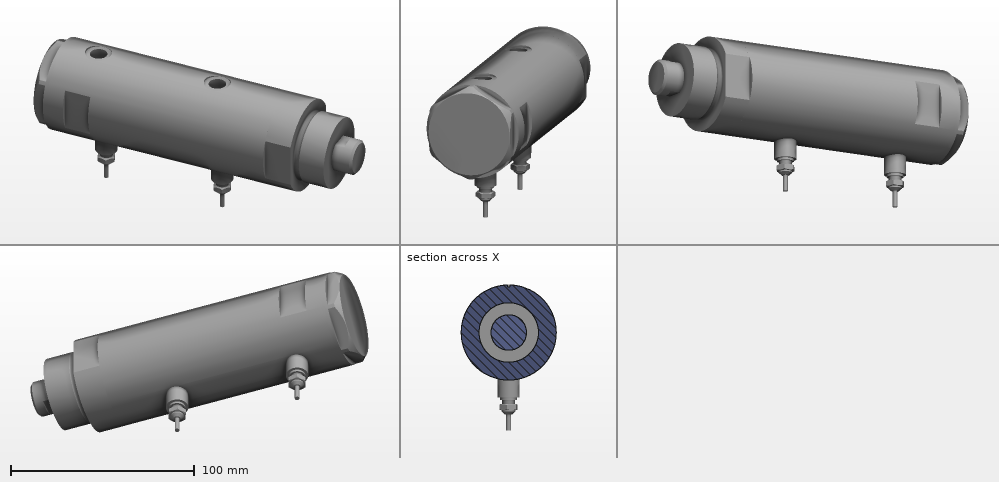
import cadquery as cq
import math


TOTAL_LENGTH = 184.4
BARREL_RADIUS = 26.0
BORE_RADIUS = 16.0
ROD_RADIUS = 9.8
WRENCH_HALF_WIDTH = 23.0

CAP_HEX_LENGTH = 7.0
CAP_FACE_RADIUS = 22.9
CAP_BEVEL = BARREL_RADIUS - CAP_FACE_RADIUS
CAP_SPIGOT_END = 36.9

BARREL_START = 9.0
BARREL_END = 139.0
FLAT_START = 19.0
FLAT_END = 34.1

PORT_POSITIONS = (28.4, 99.5)
PORT_RADIUS = 4.8
SPOTFACE_RADIUS = 7.4
SPOTFACE_HEIGHT = 24.9

HEAD_SPIGOT_RADIUS = 22.1
HEAD_SPIGOT_START = 102.3
HEAD_SHOULDER = 154.2
HEAD_END = 172.6
COLLAR_RADIUS = 20.1
COLLAR_START = 157.8
RELIEF_RADIUS = 19.0
RELIEF_FILLET = 1.0
RAMP_LENGTH = 2.0
RAMP_CURVE_LENGTH = 1.1
RAMP_CURVE_RISE = 0.28

ROD_CHAMFER = 1.3
ROD_FLAT_HALF_WIDTH = 8.3
ROD_FLAT_END = 178.3

SENSOR_POSITIONS = (33.0, 102.5)
SENSOR_TURNS = (20.0, 24.0)
BOSS_RADIUS = 6.0
BOSS_BOTTOM = 33.2
DISC_BOTTOM = 35.5
STEP_RADIUS = 4.6
STEP_BOTTOM = 36.9
NECK_RADIUS = 3.5
NUT_TOP = 39.1
NUT_BOTTOM = 42.5
NUT_CORNER_RADIUS = 5.3
NUT_BEVEL_RADIUS = 4.5
NUT_BEVEL_HEIGHT = 0.5
TIP_TOP_RADIUS = 3.7
TIP_TAPER_TOP = 43.1
TIP_BOTTOM_RADIUS = 2.0
TIP_BOTTOM = 44.6
CABLE_RADIUS = 1.3
CABLE_BOTTOM = 53.5


def x_cylinder(start, end, radius):
    """Solid cylinder on the X axis from start to end."""
    return cq.Workplane("YZ", origin=(start, 0, 0)).circle(radius).extrude(end - start)


def revolve_about_x(profile):
    """Close a profile drawn in the XY plane and turn it about the X axis."""
    return profile.close().revolve(360, (0, 0, 0), (1, 0, 0))


def cut_side_flats(body, start, end):
    """Cut two flats facing -Y and +Y into a body between two X positions."""
    for side in (-1, 1):
        cutter = cq.Workplane("XY").box(end - start, BARREL_RADIUS, 2 * BARREL_RADIUS)
        cutter_y = side * (WRENCH_HALF_WIDTH + BARREL_RADIUS / 2)
        body = body.cut(cutter.translate(((start + end) / 2, cutter_y, 0)))
    return body


def make_cap():
    """Hexagonal cap with a bevelled face, a round flange and a spigot in the bore."""
    corner_diameter = 2 * WRENCH_HALF_WIDTH / math.cos(math.pi / 6)
    hexagon = cq.Workplane("YZ").polygon(6, corner_diameter).extrude(CAP_HEX_LENGTH)
    hexagon = hexagon.rotate((0, 0, 0), (1, 0, 0), 90)
    bevelled = x_cylinder(0, CAP_HEX_LENGTH, BARREL_RADIUS).faces("<X").chamfer(CAP_BEVEL)
    flange = x_cylinder(CAP_HEX_LENGTH, BARREL_START, BARREL_RADIUS)
    spigot = x_cylinder(BARREL_START, CAP_SPIGOT_END, BORE_RADIUS)
    return hexagon.intersect(bevelled).union(flange).union(spigot)


def make_barrel():
    """Barrel with a bore, a counterbore for the head spigot, flats, ports and sensor bosses."""
    barrel = x_cylinder(BARREL_START, BARREL_END, BARREL_RADIUS)
    barrel = cut_side_flats(barrel, FLAT_START, FLAT_END)
    for x in SENSOR_POSITIONS:
        boss = cq.Workplane("XY", origin=(x, 0, -BOSS_BOTTOM)).circle(BOSS_RADIUS).extrude(BOSS_BOTTOM)
        barrel = barrel.union(boss)
    for x in PORT_POSITIONS:
        port = cq.Workplane("XY", origin=(x, 0, 0)).circle(PORT_RADIUS).extrude(BARREL_RADIUS)
        spotface = cq.Workplane("XY", origin=(x, 0, SPOTFACE_HEIGHT))
        spotface = spotface.circle(SPOTFACE_RADIUS).extrude(BARREL_RADIUS - SPOTFACE_HEIGHT)
        barrel = barrel.cut(port).cut(spotface)
    barrel = barrel.cut(x_cylinder(BARREL_START, HEAD_SPIGOT_START, BORE_RADIUS))
    return barrel.cut(x_cylinder(HEAD_SPIGOT_START, BARREL_END, HEAD_SPIGOT_RADIUS))


def make_head():
    """Head with a spigot in the counterbore, a flatted shoulder, a relief groove and a collar."""
    arc_offset = RELIEF_FILLET * (1 - math.cos(math.pi / 4))
    profile = (
        cq.Workplane("XY")
        .moveTo(HEAD_SPIGOT_START, ROD_RADIUS)
        .lineTo(HEAD_SPIGOT_START, HEAD_SPIGOT_RADIUS)
        .lineTo(BARREL_END, HEAD_SPIGOT_RADIUS)
        .lineTo(BARREL_END, BARREL_RADIUS)
        .lineTo(HEAD_SHOULDER, BARREL_RADIUS)
        .lineTo(HEAD_SHOULDER, RELIEF_RADIUS + RELIEF_FILLET)
        .threePointArc(
            (HEAD_SHOULDER + arc_offset, RELIEF_RADIUS + arc_offset),
            (HEAD_SHOULDER + RELIEF_FILLET, RELIEF_RADIUS),
        )
        .lineTo(COLLAR_START - RAMP_LENGTH, RELIEF_RADIUS)
        .tangentArcPoint((RAMP_CURVE_LENGTH, RAMP_CURVE_RISE))
        .lineTo(COLLAR_START, COLLAR_RADIUS)
        .lineTo(HEAD_END, COLLAR_RADIUS)
        .lineTo(HEAD_END, ROD_RADIUS)
    )
    return cut_side_flats(revolve_about_x(profile), BARREL_END, HEAD_SHOULDER)


def make_rod():
    """Rod from the cap spigot out through the head, with two flats facing -Z and +Z."""
    rod = x_cylinder(CAP_SPIGOT_END, TOTAL_LENGTH, ROD_RADIUS).faces(">X").chamfer(ROD_CHAMFER)
    flat_length = ROD_FLAT_END - HEAD_END
    for side in (-1, 1):
        cutter = cq.Workplane("XY").box(flat_length, 2 * ROD_RADIUS, ROD_RADIUS)
        cutter_height = side * (ROD_FLAT_HALF_WIDTH + ROD_RADIUS / 2)
        rod = rod.cut(cutter.translate((HEAD_END + flat_length / 2, 0, cutter_height)))
    return rod


def make_sensor(x, turn):
    """Sensor under a boss: disc, step, neck, bevelled hexagon nut, tapered tip and cable."""
    turned_body = (
        cq.Workplane("XZ")
        .moveTo(0, -BOSS_BOTTOM)
        .lineTo(BOSS_RADIUS, -BOSS_BOTTOM)
        .lineTo(BOSS_RADIUS, -DISC_BOTTOM)
        .lineTo(STEP_RADIUS, -DISC_BOTTOM)
        .lineTo(STEP_RADIUS, -STEP_BOTTOM)
        .lineTo(NECK_RADIUS, -STEP_BOTTOM)
        .lineTo(NECK_RADIUS, -NUT_BOTTOM)
        .lineTo(TIP_TOP_RADIUS, -NUT_BOTTOM)
        .lineTo(TIP_TOP_RADIUS, -TIP_TAPER_TOP)
        .lineTo(TIP_BOTTOM_RADIUS, -TIP_BOTTOM)
        .lineTo(CABLE_RADIUS, -TIP_BOTTOM)
        .lineTo(CABLE_RADIUS, -CABLE_BOTTOM)
        .lineTo(0, -CABLE_BOTTOM)
        .close()
        .revolve(360, (0, 0, 0), (0, 1, 0))
    )
    nut_envelope = (
        cq.Workplane("XZ")
        .moveTo(0, -NUT_TOP)
        .lineTo(NUT_BEVEL_RADIUS, -NUT_TOP)
        .lineTo(NUT_CORNER_RADIUS, -NUT_TOP - NUT_BEVEL_HEIGHT)
        .lineTo(NUT_CORNER_RADIUS, -NUT_BOTTOM + NUT_BEVEL_HEIGHT)
        .lineTo(NUT_BEVEL_RADIUS, -NUT_BOTTOM)
        .lineTo(0, -NUT_BOTTOM)
        .close()
        .revolve(360, (0, 0, 0), (0, 1, 0))
    )
    hexagon = cq.Workplane("XY", origin=(0, 0, -NUT_BOTTOM)).polygon(6, 2 * NUT_CORNER_RADIUS)
    hexagon = hexagon.extrude(NUT_BOTTOM - NUT_TOP)
    hexagon = hexagon.rotate((0, 0, 0), (0, 0, 1), turn - 90)
    return turned_body.union(hexagon.intersect(nut_envelope)).translate((x, 0, 0))


cap = make_cap()
barrel = make_barrel()
head = make_head()
rod = make_rod()
sensors = [make_sensor(x, turn) for x, turn in zip(SENSOR_POSITIONS, SENSOR_TURNS)]

result = cq.Compound.makeCompound(
    [cap.val(), barrel.val(), head.val(), rod.val(), *[sensor.val() for sensor in sensors]]
)